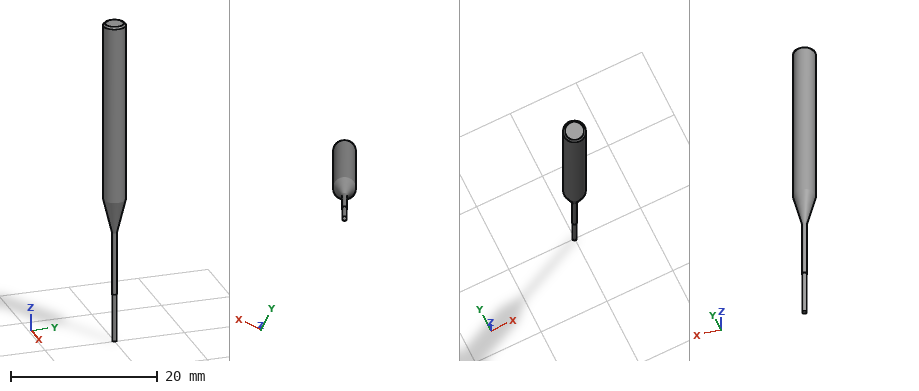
import cadquery as cq

total_length = 47.1
shank_diameter = 3.15
shank_chamfer = 0.3

shank_bottom = 21.1
taper_bottom = 16.1
cutter_top = 7.0
point_height = 0.1

neck_diameter = 0.7
cutter_diameter = 0.65

shank_radius = shank_diameter / 2
neck_radius = neck_diameter / 2
cutter_radius = cutter_diameter / 2


def revolve_profile(points):
    """Revolve a closed (radius, height) outline about the Z axis."""
    return cq.Workplane("XZ").polyline(points).close().revolve(360, (0, 0, 0), (0, 1, 0))


def make_shank():
    """Chamfered shank tapering down to a slender neck."""
    return revolve_profile([
        (0, cutter_top),
        (neck_radius, cutter_top),
        (neck_radius, taper_bottom),
        (shank_radius, shank_bottom),
        (shank_radius, total_length - shank_chamfer),
        (shank_radius - shank_chamfer, total_length),
        (0, total_length),
    ])


def make_cutter():
    """Cylindrical cutting end with a shallow conical point, butted against the neck."""
    return revolve_profile([
        (0, 0),
        (cutter_radius, point_height),
        (cutter_radius, cutter_top),
        (0, cutter_top),
    ])


shank = make_shank()
cutter = make_cutter()

result = cq.Compound.makeCompound([shank.val(), cutter.val()])